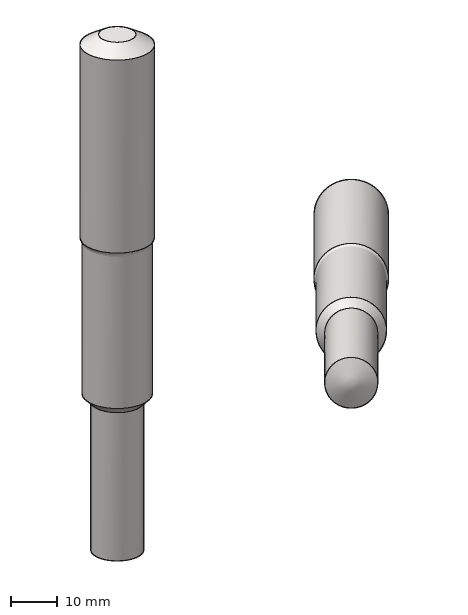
import cadquery as cq

total_length = 124.0
grip_diameter = 16.0
crown_diameter = grip_diameter / 2
crown_height = 2.4
collar_diameter = 15.1
collar_top = 74.9
lower_taper_height = 0.4
lower_taper_width = 0.06
upper_taper_height = 0.7
collar_bottom = 37.2
collar_chamfer = 1.9
punch_diameter = 11.4
tip_height = 2.1

grip_radius = grip_diameter / 2
crown_radius = crown_diameter / 2
collar_radius = collar_diameter / 2
lower_taper_top = collar_top + lower_taper_height
upper_taper_top = lower_taper_top + upper_taper_height
punch_radius = punch_diameter / 2


def revolve_outline(outline):
    """Close a (radius, height) outline and revolve it around the Z axis."""
    return outline.close().revolve(360, (0, 0), (0, 1))


def make_holder():
    """Stepped holder: chamfered lower end, collar, double-tapered step, grip and coned crown."""
    outline = (
        cq.Workplane("XZ")
        .moveTo(0, collar_bottom)
        .lineTo(collar_radius - collar_chamfer, collar_bottom)
        .lineTo(collar_radius, collar_bottom + collar_chamfer)
        .lineTo(collar_radius, collar_top)
        .lineTo(collar_radius + lower_taper_width, lower_taper_top)
        .lineTo(grip_radius, upper_taper_top)
        .lineTo(grip_radius, total_length - crown_height)
        .lineTo(crown_radius, total_length)
        .lineTo(0, total_length)
    )
    return revolve_outline(outline)


def make_punch():
    """Round punch with a conical tip, butting against the holder's lower face."""
    outline = (
        cq.Workplane("XZ")
        .lineTo(punch_radius, tip_height)
        .lineTo(punch_radius, collar_bottom)
        .lineTo(0, collar_bottom)
    )
    return revolve_outline(outline)


holder = make_holder()
punch = make_punch()

result = cq.Compound.makeCompound([holder.val(), punch.val()])